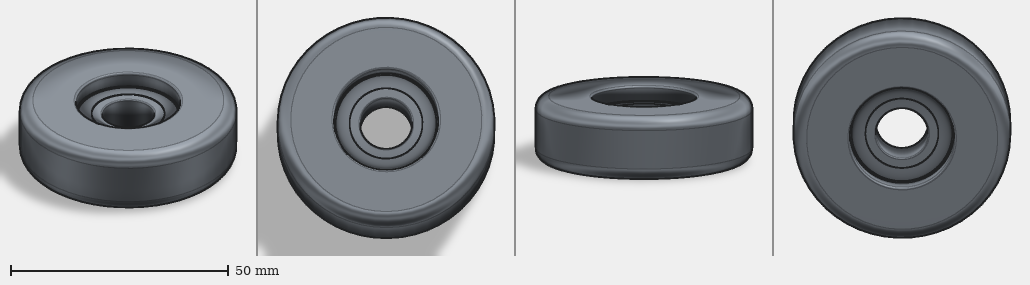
import cadquery as cq

wheel_diameter = 50.0
wheel_width = 15.0
tread_fillet = 3.0
bore_edge_fillet = 0.5

bearing_diameter = 24.0
bearing_width = 8.0
shaft_diameter = 12.0
shaft_edge_fillet = 0.3
outer_ring_wall = 0.4
inner_ring_wall = 2.4
shield_recess = 0.2

shield_outer_diameter = bearing_diameter - 2 * outer_ring_wall
shield_inner_diameter = shaft_diameter + 2 * inner_ring_wall
shield_width = bearing_width - 2 * shield_recess


def ring(outer_diameter, inner_diameter, width):
    """Plain ring around the Z axis, centred on the origin."""
    return (
        cq.Workplane("XY")
        .workplane(offset=-width / 2)
        .circle(outer_diameter / 2)
        .circle(inner_diameter / 2)
        .extrude(width)
    )


def make_wheel():
    """Wheel with a rounded tread and softened bore edges."""
    wheel = ring(wheel_diameter, bearing_diameter, wheel_width)
    wheel = wheel.faces("<Z or >Z").edges(cq.selectors.RadiusNthSelector(0)).fillet(bore_edge_fillet)
    return wheel.faces("<Z or >Z").edges(cq.selectors.RadiusNthSelector(-1)).fillet(tread_fillet)


def make_outer_ring():
    """Thin bearing ring seated in the wheel bore."""
    return ring(bearing_diameter, shield_outer_diameter, bearing_width)


def make_shield():
    """Annulus between the bearing rings, slightly recessed on both faces."""
    return ring(shield_outer_diameter, shield_inner_diameter, shield_width)


def make_inner_ring():
    """Bearing ring around the shaft hole, with rounded hole edges."""
    inner_ring = ring(shield_inner_diameter, shaft_diameter, bearing_width)
    hole_edges = cq.selectors.RadiusNthSelector(0)
    return inner_ring.edges("%CIRCLE").edges(hole_edges).fillet(shaft_edge_fillet)


wheel = make_wheel()
outer_ring = make_outer_ring()
shield = make_shield()
inner_ring = make_inner_ring()

result = cq.Compound.makeCompound(
    [wheel.val(), outer_ring.val(), shield.val(), inner_ring.val()]
)